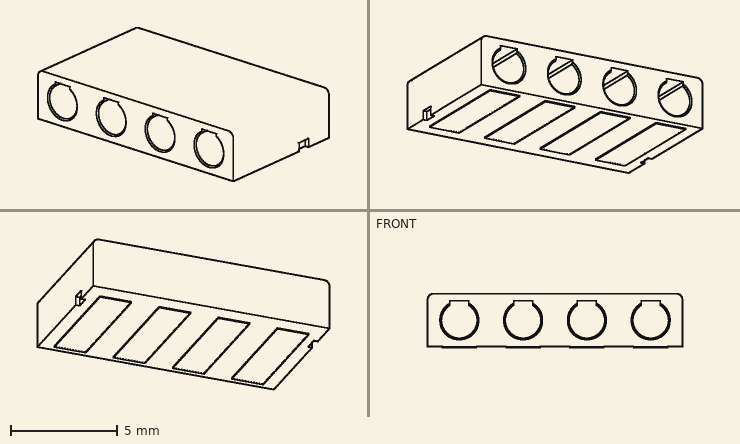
import cadquery as cq

length = 12
width = 7.0
total_height = 2.55
pad_thickness = 0.05
body_height = total_height - pad_thickness
top_edge_radius = 0.3

entry_count = 4
entry_pitch = length / entry_count
entry_diameter = 1.68
mouth_diameter = 1.82
mouth_chamfer = (mouth_diameter - entry_diameter) / 2
entry_axis_height = 1.24
entry_depth = 6
keyway_width = 0.89
keyway_rise = mouth_diameter / 2

pad_width = 1.6
pad_front_margin = 0.4
pad_back_margin = 0.88
pad_length = width - pad_front_margin - pad_back_margin

notch_depth = 0.2
notch_width = 0.7
notch_height = 0.45
notch_back_margin = 1.5


def box(x_size, y_size, z_size, x_center, y_start, z_start):
    """Box centred on x_center, rising from y_start and z_start."""
    block = cq.Workplane("XY").box(x_size, y_size, z_size, centered=(True, False, False))
    return block.translate((x_center, y_start, z_start))


def housing():
    """Block with its two long top edges rounded across the width."""
    block = box(length, width, body_height, 0, 0, 0)
    return block.faces(">Z").edges("|Y").fillet(top_edge_radius)


def wire_entry(x_center):
    """Cutter for one blind bore with a chamfered mouth and a keyway along its top."""
    bore = (
        cq.Workplane("XZ", origin=(x_center, 0, entry_axis_height))
        .circle(entry_diameter / 2)
        .extrude(-entry_depth)
    )
    mouth = cq.Workplane(
        cq.Solid.makeCone(
            mouth_diameter / 2,
            entry_diameter / 2,
            mouth_chamfer,
            pnt=cq.Vector(x_center, 0, entry_axis_height),
            dir=cq.Vector(0, 1, 0),
        )
    )
    keyway = box(keyway_width, entry_depth, keyway_rise, x_center, 0, entry_axis_height)
    return bore.union(mouth).union(keyway)


def solder_pad(x_center):
    """Thin strip standing proud of the underside."""
    return box(pad_width, pad_length, pad_thickness, x_center, pad_front_margin, -pad_thickness)


def end_notch(side):
    """Cutter for the notch in the end face on the given side, -1 or 1."""
    x_center = side * (length - notch_depth) / 2
    y_start = width - notch_back_margin - notch_width
    return box(notch_depth, notch_width, notch_height, x_center, y_start, 0)


result = housing()
for index in range(entry_count):
    entry_x = (index - (entry_count - 1) / 2) * entry_pitch
    result = result.cut(wire_entry(entry_x)).union(solder_pad(entry_x))
for side in (-1, 1):
    result = result.cut(end_notch(side))